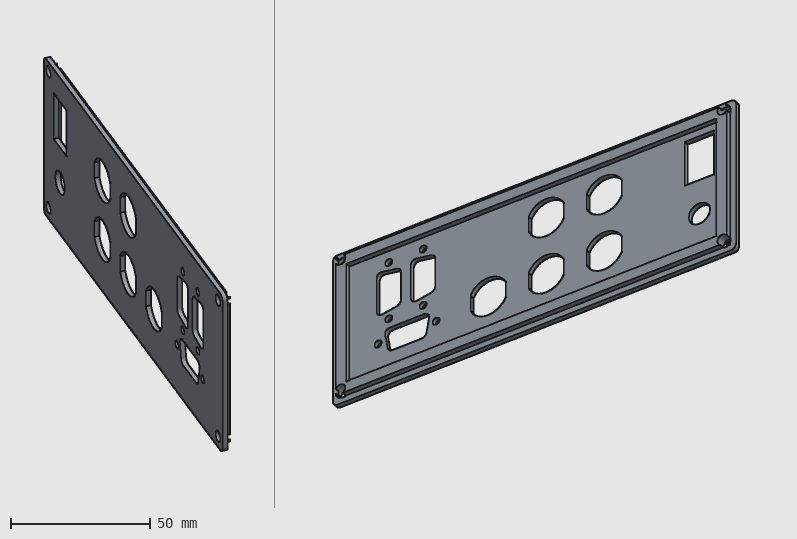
import cadquery as cq
import math


face_width = 174.0
face_height = 66.6
total_depth = 4.0
face_depth = total_depth / 2
frame_depth = total_depth - face_depth
face_corner_radius = 2.1
frame_inset = 2.6
frame_wall = 4.5

screw_diameter = 4.4
screw_pitch_x = 165.0
screw_pitch_z = 58.0
screw_inset = (face_width - screw_pitch_x) / 2

socket_diameter = 16.5
socket_flat_width = 15.1
socket_pitch = 25.0
socket_x = 56.9
socket_z = 22.0
socket_rows = (3, 2)

power_x = 15.8
window_width = 12.5
window_height = 19.5
window_z = 46.6
jack_diameter = 9.0

dsub_length = 19.0
dsub_width = 10.5
dsub_taper = math.radians(10)
dsub_corner_radius = 2.1
dsub_screw_diameter = 3.0
dsub_screw_pitch = 25.0
dsub_pair_x = 142.5
dsub_pair_spacing = 14.8
dsub_pair_z = 42.0
dsub_level_x = 142.0
dsub_level_z = 20.0


def front_plane(x=0, z=0):
    """Workplane on the front face, centred at (x, z), with its normal toward -Y."""
    return cq.Workplane("XZ").center(x, z)


def through(outline):
    """Extend a closed outline through the full depth of the part."""
    return outline.extrude(-total_depth)


def inset_block(inset, start, depth):
    """Block inset from the face outline on all sides, running from Y = start to start + depth."""
    plane = front_plane(face_width / 2, face_height / 2).workplane(offset=-start)
    return plane.rect(face_width - 2 * inset, face_height - 2 * inset).extrude(-depth)


def panel_body():
    face_plate = inset_block(0, 0, face_depth).edges("|Y").fillet(face_corner_radius)
    frame = inset_block(frame_inset, face_depth, frame_depth)
    recess = inset_block(frame_inset + frame_wall, face_depth, frame_depth)
    return face_plate.union(frame.cut(recess))


def mounting_holes():
    """Four screw holes, which also break through the corners of the frame."""
    centers = [
        (screw_inset + column * screw_pitch_x, screw_inset + row * screw_pitch_z)
        for column in range(2)
        for row in range(2)
    ]
    return through(front_plane().pushPoints(centers).circle(screw_diameter / 2))


def power_openings():
    window = through(front_plane(power_x, window_z).rect(window_width, window_height))
    jack = through(front_plane(power_x, socket_z).circle(jack_diameter / 2))
    return window.union(jack)


def socket_hole(x, z):
    """Round hole limited by two upright flats."""
    bore = through(front_plane(x, z).circle(socket_diameter / 2))
    flats = through(front_plane(x, z).rect(socket_flat_width, socket_diameter))
    return bore.intersect(flats)


def dsub_opening(x, z, angle):
    """D-shaped cutout and its two screw holes; wide side up at angle 0, facing +X at 90 degrees."""
    overshoot = dsub_corner_radius * (math.tan(dsub_taper) + 1 / math.cos(dsub_taper) - 1)
    wide_half = dsub_length / 2 + overshoot
    narrow_half = wide_half - dsub_width * math.tan(dsub_taper)
    half_width = dsub_width / 2
    corners = [
        (-wide_half, half_width),
        (wide_half, half_width),
        (narrow_half, -half_width),
        (-narrow_half, -half_width),
    ]
    opening = through(front_plane().polyline(corners).close()).edges("|Y").fillet(dsub_corner_radius)
    screw_offset = dsub_screw_pitch / 2
    screw_centers = [(-screw_offset, 0), (screw_offset, 0)]
    screws = through(front_plane().pushPoints(screw_centers).circle(dsub_screw_diameter / 2))
    return opening.union(screws).rotate((0, 0, 0), (0, 1, 0), angle).translate((x, 0, z))


result = panel_body().cut(mounting_holes()).cut(power_openings())

for row, hole_count in enumerate(socket_rows):
    for column in range(hole_count):
        hole = socket_hole(socket_x + column * socket_pitch, socket_z + row * socket_pitch)
        result = result.cut(hole)

for side in (-1, 1):
    result = result.cut(dsub_opening(dsub_pair_x + side * dsub_pair_spacing / 2, dsub_pair_z, 90))
result = result.cut(dsub_opening(dsub_level_x, dsub_level_z, 0))